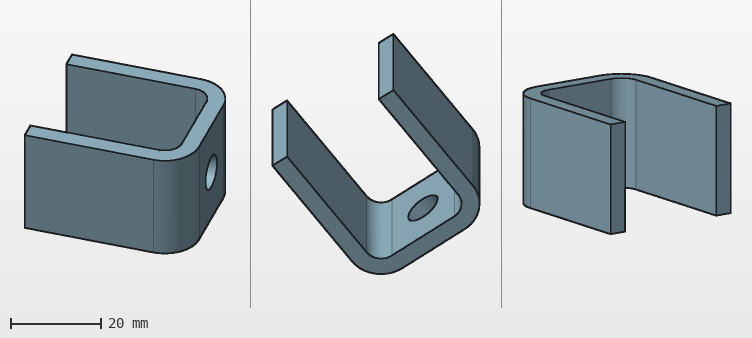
import cadquery as cq

length = 38.0
width = 33.0
height = 25.0

wall = 4.0
inner_radius = 4.0
outer_radius = inner_radius + wall
hole_diameter = 8.0


def rounded_block(x_max, block_width, corner_radius):
    """Block from the open end to x_max, with its two +X vertical edges rounded."""
    block = cq.Workplane("XY").box(x_max, block_width, height, centered=(False, True, True))
    return block.edges("|Z and >X").fillet(corner_radius)


outer = rounded_block(length, width, outer_radius)
inner = rounded_block(length - wall, width - 2 * wall, inner_radius)
bracket = outer.cut(inner)

web_hole = (
    cq.Workplane("YZ", origin=(length - wall, 0, 0))
    .circle(hole_diameter / 2)
    .extrude(wall)
)

result = bracket.cut(web_hole)